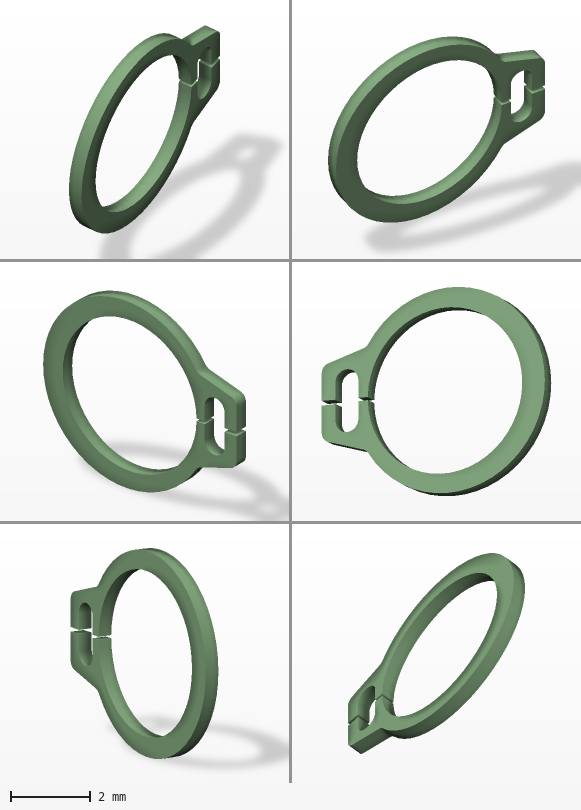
import cadquery as cq
import math

thickness = 0.38
total_length = 6.17
outer_radius = 2.644
bore_radius = 2.135
bore_offset = 0.12

lug_tip_y = total_length - outer_radius
lug_tip_half_height = 0.955
lug_flank_angle = 16.8
lug_fillet_radius = 0.245

slot_width = 0.63
slot_length = 1.615
slot_wall = 0.38
slot_y = lug_tip_y - slot_wall - slot_width / 2

gap_half_at_bore = 0.04
gap_half_at_tip = 0.06


def extrude_outline(points):
    return cq.Workplane("YZ").polyline(points).close().extrude(thickness)


def make_cylinder(radius, center_y):
    return cq.Workplane("YZ").center(center_y, 0).circle(radius).extrude(thickness)


def make_body():
    """Disc with the tapered lug block, its corners and roots rounded."""
    base_half_height = lug_tip_half_height + lug_tip_y * math.tan(math.radians(lug_flank_angle))
    lugs = extrude_outline([
        (0, -base_half_height),
        (lug_tip_y, -lug_tip_half_height),
        (lug_tip_y, lug_tip_half_height),
        (0, base_half_height),
    ])
    body = make_cylinder(outer_radius, 0).union(lugs)
    root_and_tip_edges = cq.selectors.BoxSelector(
        (0, outer_radius / 2, -outer_radius),
        (thickness, total_length, outer_radius),
    )
    return body.edges("|X").edges(root_and_tip_edges).fillet(lug_fillet_radius)


def make_plier_slot():
    return (
        cq.Workplane("YZ")
        .center(slot_y, 0)
        .slot2D(slot_length, slot_width, 90)
        .extrude(thickness)
    )


def make_gap():
    """Tapered cut from inside the bore to the lug tip."""
    return extrude_outline([
        (bore_radius, -gap_half_at_bore),
        (lug_tip_y, -gap_half_at_tip),
        (lug_tip_y, gap_half_at_tip),
        (bore_radius, gap_half_at_bore),
    ])


bore = make_cylinder(bore_radius, bore_offset)
result = make_body().cut(bore).cut(make_plier_slot()).cut(make_gap())